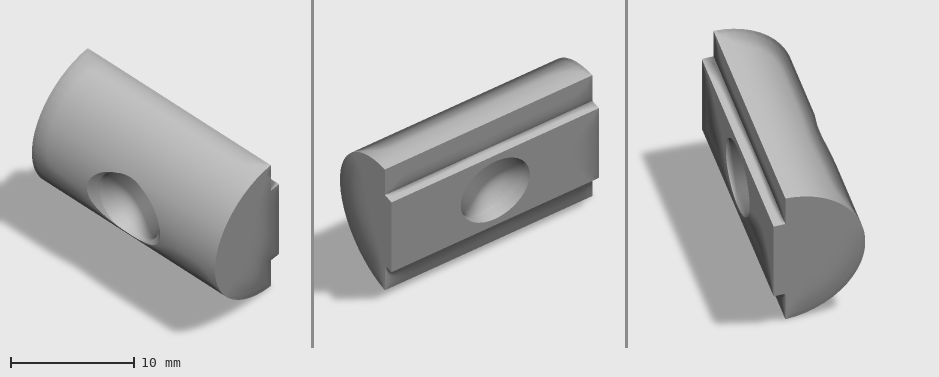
import cadquery as cq

length = 20.0
body_radius = 7.0
body_depth = 6.8

tongue_depth = 1.0
tongue_height = 8.08

hole_diameter = 6.65
countersink_diameter = 8.0
countersink_angle = 90.0

total_depth = body_depth + tongue_depth
front_y = -total_depth / 2
flat_y = front_y + body_depth


def half_round_body():
    """Cylinder along X with everything behind the flat removed."""
    cylinder = (
        cq.Workplane("YZ")
        .center(front_y + body_radius, 0)
        .circle(body_radius)
        .extrude(length / 2, both=True)
    )
    keep = cq.Workplane("XY").box(length, body_depth, 2 * body_radius)
    return cylinder.intersect(keep.translate((0, front_y + body_depth / 2, 0)))


def tongue():
    """Bar standing on the flat over the full length."""
    bar = cq.Workplane("XY").box(length, tongue_depth, tongue_height)
    return bar.translate((0, flat_y + tongue_depth / 2, 0))


def add_countersunk_hole(part):
    """Through hole whose countersink is widest at the front of the curve."""
    front_plane = cq.Workplane("XZ", origin=(0, front_y, 0))
    return part.copyWorkplane(front_plane).cskHole(
        hole_diameter, countersink_diameter, countersink_angle
    )


result = add_countersunk_hole(half_round_body().union(tongue()))